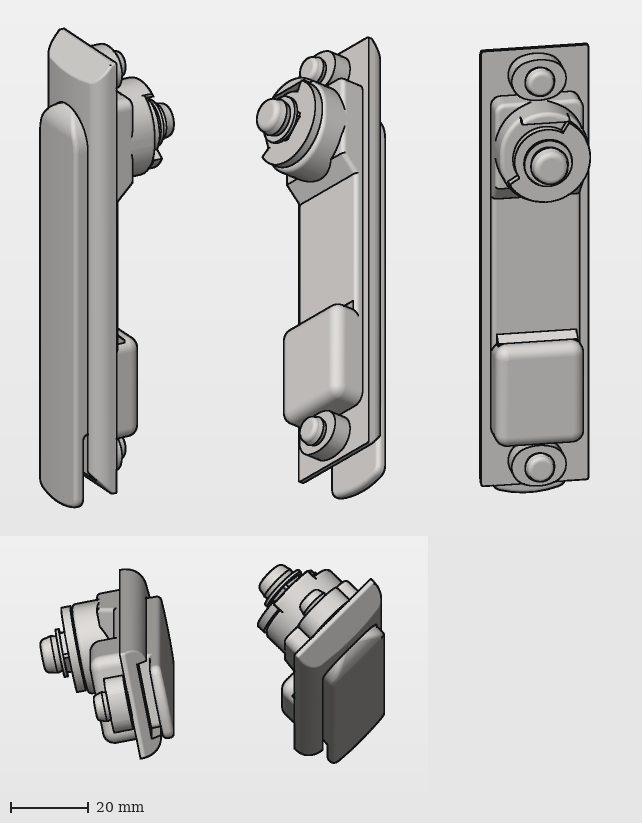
import cadquery as cq
import math


plate_width = 28.0
plate_top = 124.5
plate_bottom = 5.5
plate_side_depth = 1.9
plate_side_radius = 4.4
plate_crown_edge_x = 10.3
plate_crown_edge_depth = 6.1
plate_depth = 6.7
plate_end_flat = 1.2
plate_end_angle = 49
plate_corner_radius = 0.6
plate_edge_fillet = 0.6
plate_middle = (plate_top + plate_bottom) / 2

body_width = 23.0
body_top = 112.0
body_corner_radius = 2.5
block_depth = 6.6
block_bottom = 89.1
web_depth = 2.2
web_bottom = 31.1
body_edge_fillet = 1.1
pod_top = 45.8
pod_bottom = 18.4
pod_corner_radius = 3.1
pod_depth = 8.7
pod_edge_fillet = 3.0
pod_ramp_rise = 1.9
pod_ramp_depth = 2.1

axis_z = 99.6
collar_height = 25.3
collar_end = 13.1
collar_fillet = 1.1
lug_width = 12.3
lug_end = 15.3
lug_rise = 10.0
disc_start = 13.5
disc_end = 15.8
disc_radius = 8.3
sector_radius = 11.5
sector_start = 121
sector_end = 328
spindle_radius = 5.2
spindle_across_flats = 8.1
spindle_end = 17.4
washer_radius = 6.2
washer_thickness = 0.9
pin_radius = 4.9
pin_height = 5.5
barrel_bulge = 0.4
rim_radius_ratio = 0.35

stud_offset = 52.8
stud_radius = 3.9
stud_height = 9.1
nut_start = 0.5
nut_end = 5.5
nut_height = 11.1
nut_end_radius = 5.2
nut_end_center = 1.9

handle_width = 19.3
handle_arch_z = 99.7
handle_crest = 10.0
handle_crown = 0.2
handle_edge_fillet = 1.1
recess_floor = 3.7
handle_tip_rise = 1.9
handle_tip_radius = 2.7
grip_top = 21.0
grip_back = 6.8
grip_fillet = 1.2
dome_start_z = 103.0
dome_radius = 7.2
recess_clearance = 0.2


def box_between(x_min, x_max, y_min, y_max, z_min, z_max):
    """Box given by its limits along each axis."""
    return (
        cq.Workplane("XY")
        .box(x_max - x_min, y_max - y_min, z_max - z_min, centered=False)
        .translate((x_min, y_min, z_min))
    )


def facing_back(y, z):
    """Sketch plane at depth y, centred on x = 0 at height z: local x is -X, local y is Z, normal +Y."""
    return cq.Workplane(cq.Plane(origin=(0, y, z), xDir=(-1, 0, 0), normal=(0, 1, 0)))


def arched_outline(half_width, y_front, y_back):
    """Slab with a semicircular top, running down past the lower end of the handle."""
    straight = box_between(-half_width, half_width, y_front, y_back, -1.2, handle_arch_z)
    arch = facing_back(y_front, handle_arch_z).circle(half_width).extrude(y_back - y_front)
    return straight.union(arch)


def make_cover_plate():
    """Crowned plate with sloped ends and a recess for the handle."""
    half = plate_width / 2
    arc_center_x = half - plate_side_radius
    arc_middle = math.radians(40)
    arc_x = arc_center_x + plate_side_radius * math.cos(arc_middle)
    arc_y = -plate_side_depth - plate_side_radius * math.sin(arc_middle)
    plate = (
        cq.Workplane("XY", origin=(0, 0, plate_bottom))
        .moveTo(-half, 0)
        .lineTo(half, 0)
        .lineTo(half, -plate_side_depth)
        .threePointArc((arc_x, arc_y), (plate_crown_edge_x, -plate_crown_edge_depth))
        .threePointArc((0, -plate_depth), (-plate_crown_edge_x, -plate_crown_edge_depth))
        .threePointArc((-arc_x, arc_y), (-half, -plate_side_depth))
        .close()
        .extrude(plate_top - plate_bottom)
    )
    run = plate_depth + 1.2
    rise = (run - plate_end_flat) * math.tan(math.radians(plate_end_angle))
    side_outline = (
        cq.Workplane("YZ", origin=(-half, 0, 0))
        .polyline(
            [
                (0, plate_bottom),
                (0, plate_top),
                (-plate_end_flat, plate_top),
                (-run, plate_top - rise),
                (-run, plate_bottom + rise),
                (-plate_end_flat, plate_bottom),
            ]
        )
        .close()
        .extrude(plate_width)
    )
    plate = plate.intersect(side_outline)
    plate = plate.edges("|Y").fillet(plate_corner_radius)
    half_box = half + 1.2
    upper_end = cq.selectors.BoxSelector((-half_box, -run, plate_top - rise), (half_box, -0.6, plate_top + 1.2))
    lower_end = cq.selectors.BoxSelector(
        (-half_box, -run, plate_bottom - 1.2), (half_box, -0.6, plate_bottom + rise)
    )
    plate = plate.edges(upper_end + lower_end).edges("not |Z").fillet(plate_edge_fillet)
    recess = arched_outline(handle_width / 2 + recess_clearance, -plate_depth - 1.2, -recess_floor)
    return plate.cut(recess)


def make_rear_block():
    """Block behind the spindle with a slope down to the thin web that reaches the pod."""
    half = body_width / 2
    block = (
        cq.Workplane("YZ", origin=(-half, 0, 0))
        .polyline(
            [
                (0, web_bottom),
                (0, body_top),
                (block_depth, body_top),
                (block_depth, block_bottom),
                (web_depth, block_bottom - (block_depth - web_depth)),
                (web_depth, web_bottom),
            ]
        )
        .close()
        .extrude(body_width)
    )
    block = block.edges("|Y and >Z").fillet(body_corner_radius)
    left_rim = cq.selectors.BoxSelector((-half - 1.2, 1.2, web_bottom + 1.2), (-half + 1.2, 7.5, body_top + 1.2))
    right_rim = cq.selectors.BoxSelector((half - 1.2, 1.2, web_bottom + 1.2), (half + 1.2, 7.5, body_top + 1.2))
    top_rim = cq.selectors.BoxSelector((-1.2, block_depth - 0.1, body_top - 0.1), (1.2, 7.5, body_top + 0.1))
    return block.edges(left_rim + right_rim + top_rim).edges("not |Y").fillet(body_edge_fillet)


def make_pod():
    """Rounded box at the lower end, with a small ramp where the web runs into it."""
    half = body_width / 2
    pod = box_between(-half, half, 0, pod_depth, pod_bottom, pod_top)
    pod = pod.edges("|Y").fillet(pod_corner_radius)
    pod = pod.faces(">Y").edges().fillet(pod_edge_fillet)
    ramp_half = half - body_edge_fillet
    ramp = (
        cq.Workplane("YZ", origin=(-ramp_half, 0, 0))
        .polyline(
            [
                (web_depth, pod_top + pod_ramp_rise),
                (web_depth + pod_ramp_depth, pod_top),
                (web_depth + pod_ramp_depth, pod_top - pod_corner_radius),
                (web_depth, pod_top - pod_corner_radius),
            ]
        )
        .close()
        .extrude(2 * ramp_half)
    )
    return pod.union(ramp)


def make_collar():
    """Oblong bearing boss, with a stop lug standing on the upper part of its rim."""
    collar = facing_back(0, axis_z).slot2D(collar_height, body_width, 90).extrude(collar_end)
    collar = collar.faces(">Y").edges().fillet(collar_fillet)
    lug = facing_back(0, axis_z).slot2D(collar_height, body_width, 90).extrude(lug_end)
    lug = lug.faces(">Y").edges().fillet(collar_fillet)
    lug_bottom = axis_z + lug_rise
    lug = lug.intersect(box_between(-lug_width / 2, lug_width / 2, 0, lug_end, lug_bottom, body_top + 1.2))
    return collar.union(lug)


def make_housing():
    return make_cover_plate().union(make_rear_block()).union(make_pod()).union(make_collar())


def make_spindle():
    """Square bar with its corners turned down, set diagonally."""
    length = spindle_end - collar_end
    bar = facing_back(collar_end, axis_z).rect(spindle_across_flats, spindle_across_flats).extrude(length)
    bar = bar.rotate((0, 0, axis_z), (0, 1, axis_z), 45)
    return bar.intersect(facing_back(collar_end, axis_z).circle(spindle_radius).extrude(length))


def make_stop_disc(spindle):
    """Disc with a larger sector whose ends meet the stop lug a quarter turn apart."""
    thickness = disc_end - disc_start
    disc = facing_back(disc_start, axis_z).circle(disc_radius).extrude(thickness)
    start_angle, end_angle = math.radians(sector_start), math.radians(sector_end)
    middle_angle = (start_angle + end_angle) / 2
    start, middle, end = [
        (sector_radius * math.cos(angle), sector_radius * math.sin(angle))
        for angle in (start_angle, middle_angle, end_angle)
    ]
    sector = (
        cq.Workplane("XZ", origin=(0, disc_end, axis_z))
        .lineTo(*start)
        .threePointArc(middle, end)
        .close()
        .extrude(thickness)
    )
    return disc.union(sector).cut(spindle)


def make_washer(pin):
    return facing_back(spindle_end, axis_z).circle(washer_radius).extrude(washer_thickness).cut(pin)


def barrel_pin(y, z, radius, length, barrel_length):
    """Round pin along +Y, whose last barrel_length swells slightly and ends in a rounded rim."""
    end_radius = radius - barrel_bulge
    barrel_start = length - barrel_length
    rim = end_radius * rim_radius_ratio
    shoulder = length - rim
    rim_diagonal = rim * math.sqrt(0.5)
    profile = (
        cq.Workplane("XY")
        .lineTo(end_radius, 0)
        .lineTo(end_radius, barrel_start)
        .lineTo(radius, (barrel_start + shoulder) / 2)
        .lineTo(end_radius, shoulder)
        .threePointArc(
            (end_radius - rim + rim_diagonal, shoulder + rim_diagonal),
            (end_radius - rim, length),
        )
        .lineTo(0, length)
        .close()
    )
    return profile.revolve(360, (0, 0, 0), (0, 1, 0)).translate((0, y, z))


def make_spindle_pin():
    return barrel_pin(spindle_end, axis_z, pin_radius, pin_height, pin_height - washer_thickness)


def make_stud(z):
    return barrel_pin(0, z, stud_radius, stud_height, stud_height - nut_end)


def make_nut(z, stud):
    """Oval nut: two end arcs joined tangentially by flatter arcs above and below."""
    nut_half_height = nut_height / 2
    gap = nut_half_height - nut_end_radius
    flat_offset = (nut_end_center**2 - gap**2) / (2 * gap)
    distance = math.hypot(nut_end_center, flat_offset)
    joint_x = nut_end_center + nut_end_radius * nut_end_center / distance
    joint_z = nut_end_radius * flat_offset / distance
    end_x = nut_end_center + nut_end_radius
    nut = (
        facing_back(nut_start, z)
        .moveTo(-joint_x, joint_z)
        .threePointArc((0, nut_half_height), (joint_x, joint_z))
        .threePointArc((end_x, 0), (joint_x, -joint_z))
        .threePointArc((0, -nut_half_height), (-joint_x, -joint_z))
        .threePointArc((-end_x, 0), (-joint_x, joint_z))
        .close()
        .extrude(nut_end - nut_start)
    )
    return nut.cut(stud)


def make_handle():
    """Long lever with a domed arch at the top and a thinner grip at the lower end."""
    half = handle_width / 2
    side_y = -handle_crest + handle_crown
    lever = arched_outline(half, -handle_crest, -recess_floor)
    tip = (
        cq.Workplane("XZ", origin=(0, -recess_floor, 0))
        .moveTo(-half, handle_tip_rise)
        .threePointArc((0, 0), (half, handle_tip_rise))
        .lineTo(half, plate_top)
        .lineTo(-half, plate_top)
        .close()
        .extrude(handle_crest - recess_floor)
        .edges("|Y")
        .edges("<Z")
        .fillet(handle_tip_radius)
    )
    lever = lever.intersect(tip)
    dome_axis_y = dome_radius - handle_crest
    crown_outline = (
        cq.Workplane("XY", origin=(0, dome_axis_y, dome_start_z))
        .moveTo(-half, 0)
        .lineTo(-half, side_y - dome_axis_y)
        .threePointArc((0, -dome_radius), (half, side_y - dome_axis_y))
        .lineTo(half, 0)
        .close()
        .wire()
        .val()
    )
    axis_start = cq.Vector(-half, dome_axis_y, dome_start_z)
    axis_end = cq.Vector(half, dome_axis_y, dome_start_z)
    straight = cq.Solid.extrudeLinear(crown_outline, [], cq.Vector(0, 0, -plate_top))
    dome = cq.Solid.revolve(crown_outline, [], 360, axis_start, axis_end)
    lever = lever.intersect(cq.Workplane(straight).union(cq.Workplane(dome)))
    lever = lever.cut(box_between(-half, half, -grip_back, 0, -1.2, grip_top))
    grip_corner = cq.selectors.BoxSelector(
        (-1.2, -grip_back - 0.1, grip_top - 0.1), (1.2, -grip_back + 0.1, grip_top + 0.1)
    )
    lever = lever.edges(grip_corner).fillet(grip_fillet)
    front = cq.selectors.BoxSelector((-half - 1.2, -handle_crest - 1.2, -1.2), (half + 1.2, -grip_back - 0.1, plate_top))
    dome_line = cq.selectors.BoxSelector(
        (-1.2, -handle_crest - 1.2, dome_start_z - 0.1), (1.2, -handle_crest + 1.2, dome_start_z + 0.1)
    )
    lever = lever.edges(front - dome_line).edges("not |Y").fillet(handle_edge_fillet)
    grip_rim = cq.selectors.BoxSelector(
        (-half - 1.2, -grip_back - 0.1, -1.2), (half + 1.2, -grip_back + 0.1, grip_top - 0.1)
    )
    return lever.edges(grip_rim).fillet(grip_fillet)


housing = make_housing()
handle = make_handle()
spindle = make_spindle()
stop_disc = make_stop_disc(spindle)
spindle_pin = make_spindle_pin()
washer = make_washer(spindle_pin)
studs = []
nuts = []
for stud_z in (plate_middle + stud_offset, plate_middle - stud_offset):
    stud = make_stud(stud_z)
    studs.append(stud)
    nuts.append(make_nut(stud_z, stud))

result = cq.Compound.makeCompound(
    [
        housing.val(),
        handle.val(),
        spindle.val(),
        stop_disc.val(),
        washer.val(),
        spindle_pin.val(),
        *[stud.val() for stud in studs],
        *[nut.val() for nut in nuts],
    ]
)